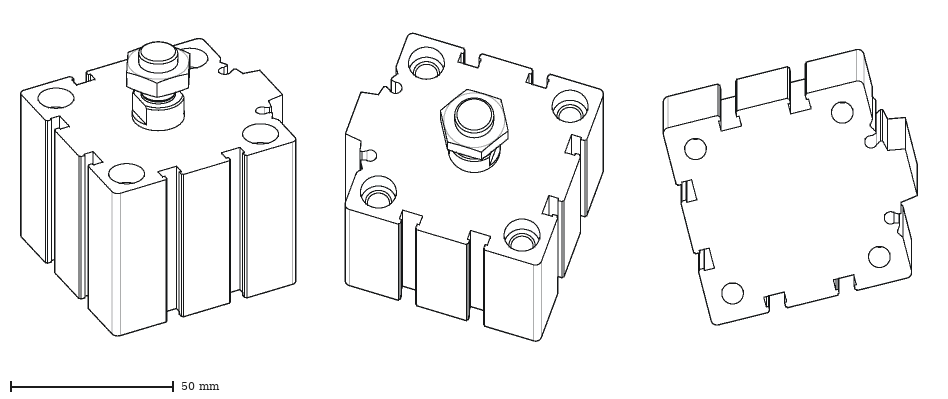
import cadquery as cq
import math

total_height = 77.0
body_size = 63.5
body_height = 53.0
body_corner_radius = 1.9
half_body = body_size / 2

slot_offset = 11.0
slot_mouth_width = 5.0
slot_pocket_width = 6.5
slot_depth = 5.0
slot_lip = 1.85
slot_mouth_radius = 0.5

total_depth = 71.0
rail_top_y = total_depth - half_body
rail_top_half_width = 7.55
rail_foot = (8.4, 33.9)
tooth_tip_top = (11.6, 33.1)
tooth_tip_bottom = (11.8, 32.4)
wire_groove_center = (12.25, 29.6)
wire_groove_radius = 1.9
wire_groove_start_angle = 50
wire_groove_end_angle = 160
ridge_inner_x = 14.5
ridge_outer_x = 15.0
notch_bottom = (17.2, 30.5)
notch_outer_x = 19.1

hole_offset = 23.25
counterbore_diameter = 11.0
counterbore_depth = 7.0
countersink_diameter = 8.0
thread_bore_diameter = 6.8
through_diameter = 6.6
thread_bore_depth = 11.55

rod_diameter = 16.0
rod_chamfer = 0.55
collar_top_z = total_height - 15.9
flat_bottom_z = total_height - 22.4
flat_spacing = 13.0
thread_diameter = 12.0
thread_chamfer = 0.7
thread_tip_chamfer_height = 0.6
thread_end_z = total_height - 12.25
taper_end_z = total_height - 14.7
neck_top_z = total_height - 15.0
neck_bottom_z = total_height - 15.3
neck_diameter = 10.2
neck_end_diameter = 10.6
taper_bulge = 0.1

nut_across_flats = 19.0
nut_thickness = 6.0
nut_top_z = total_height - 3.9
nut_face_diameter = 18.7
nut_chamfer_height = 0.4


def point_on_groove(angle):
    """Point on the wire groove's circle, the angle counted clockwise from the -X direction."""
    center_x, center_y = wire_groove_center
    turn = math.radians(angle)
    return (
        center_x - wire_groove_radius * math.cos(turn),
        center_y + wire_groove_radius * math.sin(turn),
    )


def make_back_right_quarter():
    """Housing quarter at +X, +Y, with half of the rail, a wire groove and a V-notch."""
    groove_bottom = (wire_groove_center[0], wire_groove_center[1] - wire_groove_radius)
    return (
        cq.Workplane("XY")
        .lineTo(0, rail_top_y)
        .lineTo(rail_top_half_width, rail_top_y)
        .lineTo(*rail_foot)
        .lineTo(*tooth_tip_top)
        .lineTo(*tooth_tip_bottom)
        .lineTo(*point_on_groove(wire_groove_start_angle))
        .threePointArc(groove_bottom, point_on_groove(wire_groove_end_angle))
        .lineTo(ridge_inner_x, half_body)
        .lineTo(ridge_outer_x, half_body)
        .lineTo(*notch_bottom)
        .lineTo(notch_outer_x, half_body)
        .lineTo(half_body - body_corner_radius, half_body)
        .radiusArc((half_body, half_body - body_corner_radius), body_corner_radius)
        .lineTo(half_body, 0)
        .close()
        .extrude(body_height)
    )


def make_t_slot(turn, offset):
    """Cutter for one slot: drawn on the front side, then turned about the rod axis."""
    mouth = slot_mouth_width / 2
    pocket = slot_pocket_width / 2
    flare = mouth + slot_mouth_radius
    return (
        cq.Workplane("XY")
        .moveTo(-flare, 0)
        .lineTo(flare, 0)
        .radiusArc((mouth, slot_mouth_radius), -slot_mouth_radius)
        .lineTo(mouth, slot_lip)
        .lineTo(pocket, slot_lip)
        .lineTo(pocket, slot_depth)
        .lineTo(-pocket, slot_depth)
        .lineTo(-pocket, slot_lip)
        .lineTo(-mouth, slot_lip)
        .lineTo(-mouth, slot_mouth_radius)
        .radiusArc((-flare, 0), -slot_mouth_radius)
        .close()
        .extrude(body_height)
        .translate((offset, -half_body, 0))
        .rotate((0, 0, 0), (0, 0, 1), turn)
    )


def make_mounting_hole(x, y):
    """Cutter for a stepped hole: counterbore, countersink, thread bore, through bore."""
    floor_z = body_height - counterbore_depth
    countersink_height = (countersink_diameter - thread_bore_diameter) / 2
    thread_bottom_z = floor_z - thread_bore_depth
    return (
        cq.Workplane("XZ")
        .lineTo(through_diameter / 2, 0)
        .lineTo(through_diameter / 2, thread_bottom_z)
        .lineTo(thread_bore_diameter / 2, thread_bottom_z)
        .lineTo(thread_bore_diameter / 2, floor_z - countersink_height)
        .lineTo(countersink_diameter / 2, floor_z)
        .lineTo(counterbore_diameter / 2, floor_z)
        .lineTo(counterbore_diameter / 2, body_height)
        .lineTo(0, body_height)
        .close()
        .revolve(360, (0, 0), (0, 1))
        .translate((x, y, 0))
    )


def make_housing():
    front_half = (
        cq.Workplane("XY")
        .box(body_size, half_body, body_height, (True, False, False))
        .translate((0, -half_body, 0))
        .edges("|Z and <Y")
        .fillet(body_corner_radius)
    )
    back_right = make_back_right_quarter()
    housing = front_half.union(back_right).union(back_right.mirror("YZ")).clean()
    for turn in (-90, 0, 90):
        for offset in (-slot_offset, slot_offset):
            housing = housing.cut(make_t_slot(turn, offset))
    for x in (-hole_offset, hole_offset):
        for y in (-hole_offset, hole_offset):
            housing = housing.cut(make_mounting_hole(x, y))
    return housing


def make_rod():
    """Rod standing on the housing: collar with two flats, undercut neck, plain thread."""
    rod_radius = rod_diameter / 2
    thread_radius = thread_diameter / 2
    neck_radius = neck_diameter / 2
    neck_end_radius = neck_end_diameter / 2
    taper_middle = (
        (thread_radius + neck_end_radius) / 2 + taper_bulge,
        (thread_end_z + taper_end_z) / 2,
    )
    rod = (
        cq.Workplane("XZ")
        .moveTo(0, body_height)
        .lineTo(rod_radius, body_height)
        .lineTo(rod_radius, collar_top_z - rod_chamfer)
        .lineTo(rod_radius - rod_chamfer, collar_top_z)
        .lineTo(neck_end_radius, collar_top_z)
        .lineTo(neck_radius, neck_bottom_z)
        .lineTo(neck_radius, neck_top_z)
        .lineTo(neck_end_radius, taper_end_z)
        .threePointArc(taper_middle, (thread_radius, thread_end_z))
        .lineTo(thread_radius, total_height - thread_tip_chamfer_height)
        .lineTo(thread_radius - thread_chamfer, total_height)
        .lineTo(0, total_height)
        .close()
        .revolve(360, (0, 0), (0, 1))
    )
    flat_height = collar_top_z - flat_bottom_z
    for side in (-1, 1):
        flat_cutter = (
            cq.Workplane("XY")
            .box(rod_diameter, rod_diameter, flat_height, (True, True, False))
            .translate((0, side * (flat_spacing + rod_diameter) / 2, flat_bottom_z))
        )
        rod = rod.cut(flat_cutter)
    return rod


def make_nut():
    """Hexagon with two flats facing X, its corners chamfered at both ends."""
    corner_diameter = nut_across_flats / math.cos(math.pi / 6)
    corner_radius = corner_diameter / 2
    face_radius = nut_face_diameter / 2
    nut_bottom_z = nut_top_z - nut_thickness
    hexagon = (
        cq.Workplane("XY", origin=(0, 0, nut_bottom_z))
        .polygon(6, corner_diameter)
        .extrude(nut_thickness)
        .rotate((0, 0, 0), (0, 0, 1), 30)
    )
    chamfered_round = (
        cq.Workplane("XZ")
        .moveTo(0, nut_bottom_z)
        .lineTo(face_radius, nut_bottom_z)
        .lineTo(corner_radius, nut_bottom_z + nut_chamfer_height)
        .lineTo(corner_radius, nut_top_z - nut_chamfer_height)
        .lineTo(face_radius, nut_top_z)
        .lineTo(0, nut_top_z)
        .close()
        .revolve(360, (0, 0), (0, 1))
    )
    bore = (
        cq.Workplane("XY", origin=(0, 0, nut_bottom_z))
        .circle(thread_diameter / 2)
        .extrude(nut_thickness)
    )
    return hexagon.intersect(chamfered_round).cut(bore)


housing = make_housing()
rod = make_rod()
nut = make_nut()

result = cq.Compound.makeCompound([housing.val(), rod.val(), nut.val()])